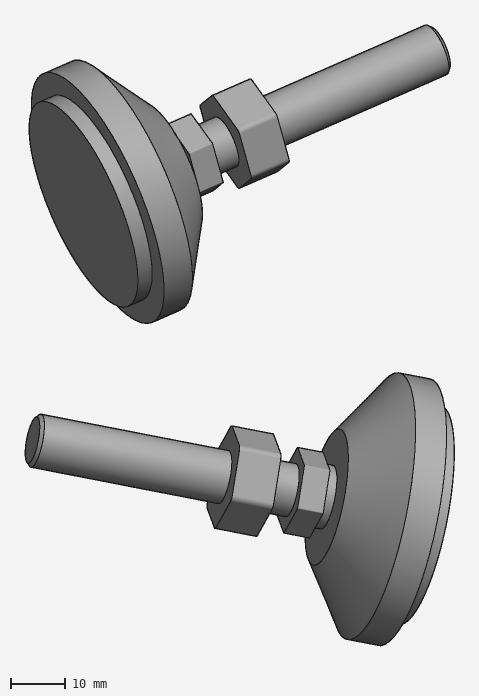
import cadquery as cq
import math

LENGTH = 75.0

PAD_DIAMETER = 41.0
FOOT_DIAMETER = 50.0
CONE_TOP_DIAMETER = 25.5
PAD_END = 3.0
RIM_END = 9.0
CONE_END = 18.0

COLLAR_DIAMETER = 12.0
STEM_DIAMETER = 10.0
STEM_CHAMFER = 0.7

HEX_START = 20.0
HEX_END = 25.0
HEX_ACROSS_FLATS = 14.0
HEX_CORNER_RADIUS = 0.2

NUT_START = 30.0
NUT_END = 38.0
NUT_ACROSS_FLATS = 17.0
NUT_CORNER_RADIUS = 1.2


def turned_body():
    """Pad, rim, cone, collar and stem revolved as one half profile."""
    pad_radius = PAD_DIAMETER / 2
    foot_radius = FOOT_DIAMETER / 2
    cone_top_radius = CONE_TOP_DIAMETER / 2
    collar_radius = COLLAR_DIAMETER / 2
    stem_radius = STEM_DIAMETER / 2
    profile = [
        (0, 0),
        (pad_radius, 0),
        (pad_radius, PAD_END),
        (foot_radius, PAD_END),
        (foot_radius, RIM_END),
        (cone_top_radius, CONE_END),
        (collar_radius, CONE_END),
        (collar_radius, HEX_START),
        (stem_radius, HEX_START),
        (stem_radius, LENGTH - STEM_CHAMFER),
        (stem_radius - STEM_CHAMFER, LENGTH),
        (0, LENGTH),
    ]
    return cq.Workplane("XY").polyline(profile).close().revolve(360, (0, 0, 0), (0, 1, 0))


def hexagon(start, end, across_flats, corner_radius):
    """Hexagonal prism along Y with flats facing +/-Z and rounded long edges."""
    across_corners = across_flats / math.cos(math.radians(30))
    return (
        cq.Workplane("XZ", origin=(0, start, 0))
        .polygon(6, across_corners)
        .extrude(start - end)
        .edges("|Y")
        .fillet(corner_radius)
    )


fixed_hex = hexagon(HEX_START, HEX_END, HEX_ACROSS_FLATS, HEX_CORNER_RADIUS)
lock_nut = hexagon(NUT_START, NUT_END, NUT_ACROSS_FLATS, NUT_CORNER_RADIUS)

result = turned_body().union(fixed_hex).union(lock_nut)